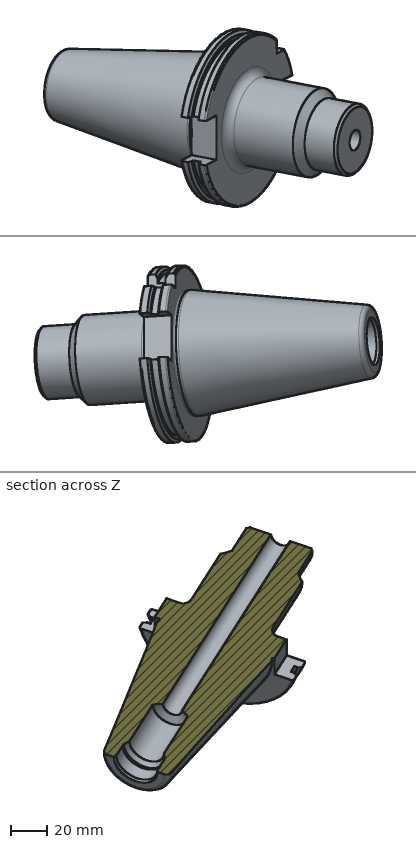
import cadquery as cq
import math


GAUGE_RADIUS = 69.85 / 2
TAPER_LENGTH = 101.75
TAPER_RATIO = 7 / 24
TAPER_TIP_FILLET = 3.0
RELIEF_START = 1.5
RELIEF_DEPTH = 0.4

FLANGE_RADIUS = 97.5 / 2
FLANGE_START = 3.2
FLANGE_WIDTH = 15.9
FLANGE_FILLET = 1.0
GROOVE_FLOOR_WIDTH = 4.5
GROOVE_DEPTH = 4.0
GROOVE_FLARE_DEPTH = 2.0
GROOVE_FLARE_ANGLE = 60.0

SLOT_WIDTH = 25.7
SLOT_FLOOR_PLUS_Y = 37.7
SLOT_FLOOR_MINUS_Y = 35.5
NOTCH_Y = 29.8
NOTCH_Z = 30.2

NOSE_END = 87.0
NECK_RADIUS = 25.0
NECK_ROOT_FILLET = 5.0
NECK_END = 62.0
NOSE_RADIUS = 20.25
NOSE_CHAMFER = 1.5

THROUGH_RADIUS = 11.5 / 2
COUNTERBORE_RADIUS = 25.0 / 2
COUNTERBORE_DEPTH = 10.0
MOUTH_RADIUS = 26.5 / 2
MOUTH_CONE_LENGTH = 1.7
LAND_RADIUS = 24.8 / 2
LAND_LENGTH = 1.2
THREAD_CORE_RADIUS = 21.0 / 2
THREAD_CORE_END = 45.0
CORE_CONE_ANGLE = 60.0
DRILL_POINT_ANGLE = 118.0

TIP_X = -TAPER_LENGTH
TIP_RADIUS = GAUGE_RADIUS - TAPER_LENGTH * TAPER_RATIO / 2
FLANGE_END = FLANGE_START + FLANGE_WIDTH
FLANGE_MIDDLE = FLANGE_START + FLANGE_WIDTH / 2


def revolve_about_x(outline):
    """Revolve a closed (x, radius) outline about the X axis."""
    return outline.close().revolve(360, (0, 0, 0), (1, 0, 0))


def make_taper():
    relief_radius = GAUGE_RADIUS - RELIEF_DEPTH
    outline = (
        cq.Workplane("XZ")
        .moveTo(TIP_X, 0)
        .lineTo(TIP_X, TIP_RADIUS)
        .lineTo(0, GAUGE_RADIUS)
        .lineTo(RELIEF_START, GAUGE_RADIUS)
        .radiusArc((RELIEF_START + RELIEF_DEPTH, relief_radius), -RELIEF_DEPTH)
        .lineTo(FLANGE_START - RELIEF_DEPTH, relief_radius)
        .radiusArc((FLANGE_START, GAUGE_RADIUS), -RELIEF_DEPTH)
        .lineTo(FLANGE_MIDDLE, GAUGE_RADIUS)
        .lineTo(FLANGE_MIDDLE, 0)
    )
    return revolve_about_x(outline).faces("<X").edges().fillet(TAPER_TIP_FILLET)


def make_flange():
    disc = (
        cq.Workplane("YZ", origin=(FLANGE_START, 0, 0))
        .circle(FLANGE_RADIUS)
        .extrude(FLANGE_WIDTH)
        .edges()
        .fillet(FLANGE_FILLET)
    )
    half_floor = GROOVE_FLOOR_WIDTH / 2
    half_mouth = half_floor + GROOVE_FLARE_DEPTH * math.tan(math.radians(GROOVE_FLARE_ANGLE / 2))
    groove_floor_radius = FLANGE_RADIUS - GROOVE_DEPTH
    flare_radius = FLANGE_RADIUS - GROOVE_FLARE_DEPTH
    groove = (
        cq.Workplane("XZ")
        .moveTo(FLANGE_MIDDLE - half_floor, groove_floor_radius)
        .lineTo(FLANGE_MIDDLE - half_floor, flare_radius)
        .lineTo(FLANGE_MIDDLE - half_mouth, FLANGE_RADIUS)
        .lineTo(FLANGE_MIDDLE + half_mouth, FLANGE_RADIUS)
        .lineTo(FLANGE_MIDDLE + half_floor, flare_radius)
        .lineTo(FLANGE_MIDDLE + half_floor, groove_floor_radius)
    )
    return disc.cut(revolve_about_x(groove))


def flange_cutter(y_start, y_end, z_start, z_end):
    """Box across the full width of the flange."""
    cutter = cq.Workplane("XY", origin=(FLANGE_START, y_start, z_start))
    return cutter.box(FLANGE_WIDTH, y_end - y_start, z_end - z_start, centered=False)


def cut_slots_and_notch(body):
    half_slot = SLOT_WIDTH / 2
    plus_slot = flange_cutter(SLOT_FLOOR_PLUS_Y, FLANGE_RADIUS, -half_slot, half_slot)
    minus_slot = flange_cutter(-FLANGE_RADIUS, -SLOT_FLOOR_MINUS_Y, -half_slot, half_slot)
    notch = flange_cutter(NOTCH_Y, FLANGE_RADIUS, NOTCH_Z, FLANGE_RADIUS)
    return body.cut(plus_slot).cut(minus_slot).cut(notch)


def make_nose():
    root_radius = NECK_RADIUS + NECK_ROOT_FILLET
    arc_offset = NECK_ROOT_FILLET * (1 - math.sqrt(0.5))
    shoulder_end = NECK_END + NECK_RADIUS - NOSE_RADIUS
    outline = (
        cq.Workplane("XZ")
        .moveTo(FLANGE_MIDDLE, 0)
        .lineTo(FLANGE_MIDDLE, root_radius)
        .lineTo(FLANGE_END, root_radius)
        .threePointArc(
            (FLANGE_END + arc_offset, NECK_RADIUS + arc_offset),
            (FLANGE_END + NECK_ROOT_FILLET, NECK_RADIUS),
        )
        .lineTo(NECK_END, NECK_RADIUS)
        .lineTo(shoulder_end, NOSE_RADIUS)
        .lineTo(NOSE_END - NOSE_CHAMFER, NOSE_RADIUS)
        .lineTo(NOSE_END, NOSE_RADIUS - NOSE_CHAMFER)
        .lineTo(NOSE_END, 0)
    )
    return revolve_about_x(outline)


def cone_length(large_radius, small_radius, included_angle):
    return (large_radius - small_radius) / math.tan(math.radians(included_angle / 2))


def make_bore():
    counterbore_end = TIP_X + COUNTERBORE_DEPTH
    land_end = counterbore_end + LAND_LENGTH
    core_cone_length = cone_length(LAND_RADIUS, THREAD_CORE_RADIUS, CORE_CONE_ANGLE)
    core_end = TIP_X + THREAD_CORE_END
    point_length = cone_length(THREAD_CORE_RADIUS, THROUGH_RADIUS, DRILL_POINT_ANGLE)
    outline = (
        cq.Workplane("XY")
        .moveTo(TIP_X, 0)
        .lineTo(TIP_X, MOUTH_RADIUS)
        .lineTo(TIP_X + MOUTH_CONE_LENGTH, COUNTERBORE_RADIUS)
        .lineTo(counterbore_end, COUNTERBORE_RADIUS)
        .lineTo(counterbore_end, LAND_RADIUS)
        .lineTo(land_end, LAND_RADIUS)
        .lineTo(land_end + core_cone_length, THREAD_CORE_RADIUS)
        .lineTo(core_end, THREAD_CORE_RADIUS)
        .lineTo(core_end + point_length, THROUGH_RADIUS)
        .lineTo(NOSE_END, THROUGH_RADIUS)
        .lineTo(NOSE_END, 0)
    )
    return revolve_about_x(outline)


body = make_flange().union(make_taper()).union(make_nose())
result = cut_slots_and_notch(body).cut(make_bore())